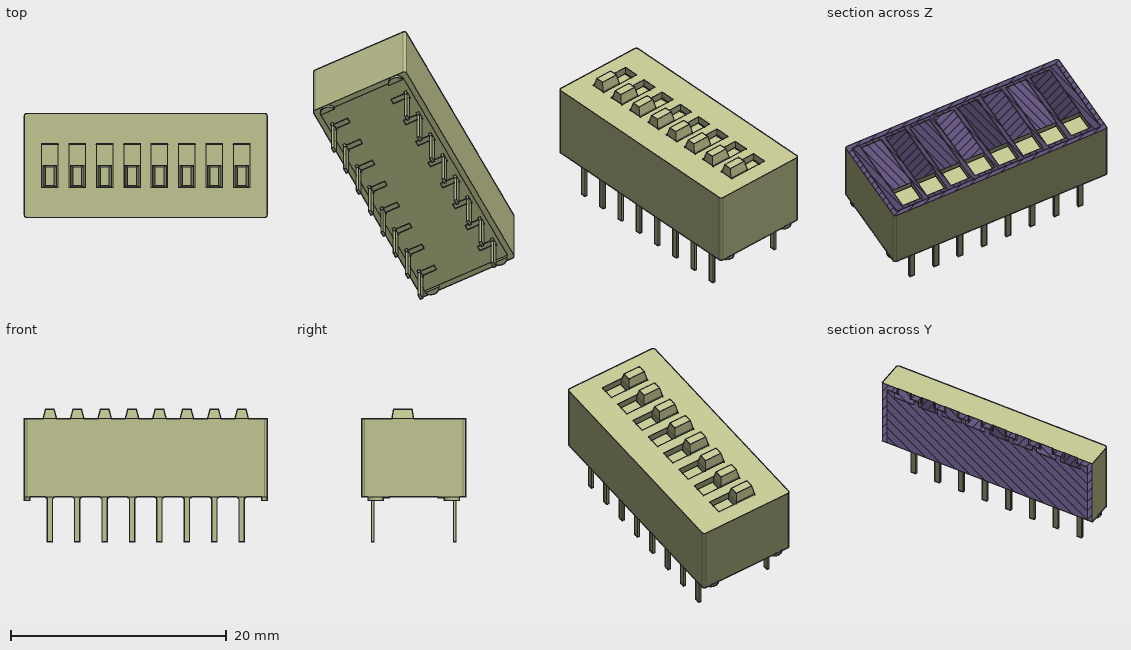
import cadquery as cq

switch_count = 8
pitch = 2.54
switch_xs = [(i - (switch_count - 1) / 2) * pitch for i in range(switch_count)]

housing_length = 22.53
housing_width = 9.65
housing_height = 7.26
corner_radius = 0.254
wall_thickness = 0.52
roof_thickness = 0.71
slot_width = 1.524
slot_length = 4.064

cavity_length = housing_length - 2 * wall_thickness
cavity_width = housing_width - 2 * wall_thickness
cavity_height = housing_height - roof_thickness

foot_radius = 0.762
foot_height = 0.35
foot_y = 3.53
foot_x = housing_length / 2 - foot_radius

slider_width = 1.27
slider_length = slot_length / 2
slider_taper_height = 0.889
slider_top_width = 0.8
slider_top_length = 1.72
slider_travel = slot_length - slider_length
slider_y = -slider_travel / 2

flange_width = 2.032
flange_thickness = 0.508
flange_gap = 0.09
flange_length = 2 * (slot_length / 2 - flange_gap - slider_y)
track_length = flange_length + slider_travel
track_floor_z = cavity_height - flange_thickness

pin_width = 0.508
pin_thickness = 0.254
pin_row_y = 3.81
overall_height = 12.32
pin_length = overall_height - housing_height - slider_taper_height

shoulder_width = 0.89
shoulder_height = (shoulder_width - pin_width) / 2

strip_inner_y = 2.25
strip_height = 0.08
strip_length = pin_row_y - strip_inner_y
strip_y = (pin_row_y + strip_inner_y) / 2


def box_from(length, width, height, bottom_z, center_y=0.0, center_x=0.0):
    """Box centred on (center_x, center_y) that rises from bottom_z."""
    return (
        cq.Workplane("XY", origin=(center_x, center_y, bottom_z))
        .rect(length, width)
        .extrude(height)
    )


def make_housing():
    housing = box_from(housing_length, housing_width, housing_height, 0)
    housing = housing.edges("|Z").fillet(corner_radius)

    feet = (
        cq.Workplane("XY")
        .pushPoints([(sx * foot_x, sy * foot_y) for sx in (-1, 1) for sy in (-1, 1)])
        .circle(foot_radius)
        .extrude(-foot_height)
    )
    cavity = box_from(cavity_length, cavity_width, cavity_height + foot_height, -foot_height)
    slots = (
        cq.Workplane("XY", origin=(0, 0, cavity_height))
        .pushPoints([(x, 0) for x in switch_xs])
        .rect(slot_width, slot_length)
        .extrude(roof_thickness)
    )
    return housing.union(feet).cut(cavity).cut(slots)


def make_pin(x, side):
    """Flat pin with its shoulder and strip; side is +1 or -1 for the row at +Y or -Y."""
    blade = (
        cq.Workplane("XZ", origin=(x, side * pin_row_y, 0))
        .moveTo(-shoulder_width / 2, 0)
        .lineTo(shoulder_width / 2, 0)
        .lineTo(pin_width / 2, -shoulder_height)
        .lineTo(pin_width / 2, -pin_length)
        .lineTo(-pin_width / 2, -pin_length)
        .lineTo(-pin_width / 2, -shoulder_height)
        .close()
        .extrude(pin_thickness / 2, both=True)
    )
    strip = box_from(pin_width, strip_length, strip_height, -strip_height, side * strip_y, x)
    return blade.union(strip)


def make_base():
    """Block that fills the housing cavity and carries both rows of pins."""
    base = box_from(cavity_length, cavity_width, cavity_height, 0)
    for x in switch_xs:
        track = box_from(flange_width, track_length, flange_thickness, track_floor_z, 0, x)
        base = base.cut(track)
        for side in (-1, 1):
            base = base.union(make_pin(x, side))
    return base


def make_slider(x):
    """Flange in the track with its knob: straight inside the slot, tapered above the roof."""
    flange = box_from(flange_width, flange_length, flange_thickness, track_floor_z, slider_y, x)
    stem = box_from(slider_width, slider_length, roof_thickness, cavity_height, slider_y, x)
    taper = (
        cq.Workplane("XY", origin=(x, slider_y, housing_height))
        .rect(slider_width, slider_length)
        .workplane(offset=slider_taper_height)
        .rect(slider_top_width, slider_top_length)
        .loft(ruled=True)
    )
    return flange.union(stem).union(taper)


housing = make_housing()
base = make_base()
sliders = [make_slider(x) for x in switch_xs]

result = cq.Compound.makeCompound(
    [housing.val(), base.val(), *[slider.val() for slider in sliders]]
)